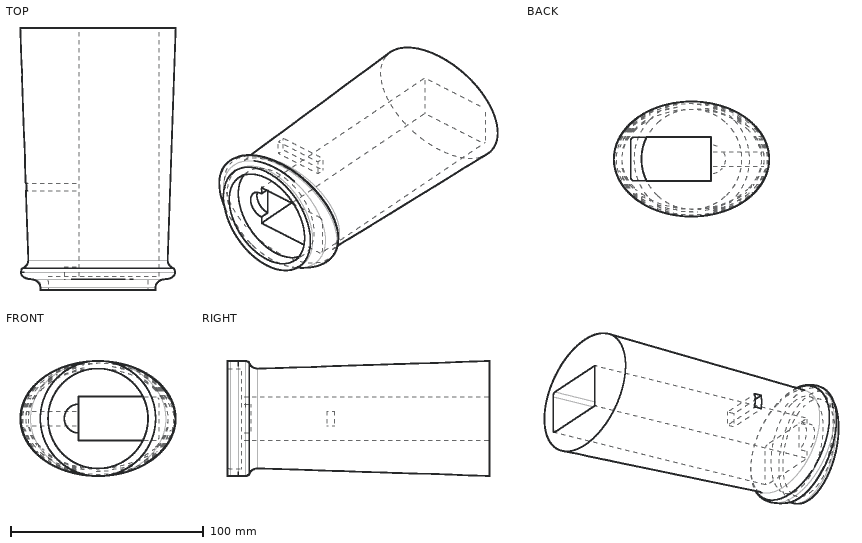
import cadquery as cq
import math

LENGTH = 136.4
END_HALF_X = 40.48
END_HALF_Z = 30.0

NECK_Y = 15.6
NECK_HALF_X = 36.3
NECK_HALF_Z = 26.0

FLARE_RADIUS = 4.5
FLARE_ANGLE = math.radians(70)
BEAD_Y = 9.2
BEAD_HALF_X = 40.1
COVE_START_Y = 5.7
COVE_START_HALF_X = 35.2
COLLAR_HALF_Z = END_HALF_Z
COVE_END_Y = 1.6
MOUTH_RADIUS = COLLAR_HALF_Z
ARC_STATIONS = 6

RECESS_RADIUS = 26.0
RECESS_DEPTH = 7.2

CAVITY_MIN_X = -10.0
CAVITY_MAX_X = 31.7
CAVITY_HEIGHT = 22.8
CAVITY_CORNER_RADIUS = 2.0

NOTCH_RADIUS = 7.5
NOTCH_DEPTH = 5.0

WINDOW_CENTER_Y = 53.7
WINDOW_LENGTH = 4.0
WINDOW_HEIGHT = 7.5


def xz_plane(y):
    """Sketch plane at the given Y, with local axes X and Z; positive extrusion goes toward -Y."""
    return cq.Workplane("XZ", origin=(0, y, 0))


def oval_loft(sections):
    """Smooth solid through oval sections given as (y, half_x, half_z)."""
    wires = [xz_plane(y).ellipse(half_x, half_z).wires().val() for y, half_x, half_z in sections]
    return cq.Workplane(cq.Solid.makeLoft(wires))


def arc_angles(sweep):
    """Evenly spaced angles from zero to the full sweep."""
    return [sweep * i / (ARC_STATIONS - 1) for i in range(ARC_STATIONS)]


def body():
    return oval_loft([
        (NECK_Y, NECK_HALF_X, NECK_HALF_Z),
        (LENGTH, END_HALF_X, END_HALF_Z),
    ])


def flare_section(angle):
    growth = FLARE_RADIUS * (1 - math.cos(angle))
    y = NECK_Y - FLARE_RADIUS * math.sin(angle)
    return y, NECK_HALF_X + growth, NECK_HALF_Z + growth


def flare():
    """Concave arc, tangent to the neck and opening toward the mouth."""
    return oval_loft([flare_section(angle) for angle in arc_angles(FLARE_ANGLE)])


def bead_top():
    """Convex quarter from the flare edge out to the widest section."""
    flare_y, flare_half_x, flare_half_z = flare_section(FLARE_ANGLE)
    sections = []
    for angle in arc_angles(math.pi / 2):
        y = BEAD_Y + (flare_y - BEAD_Y) * math.cos(angle)
        half_x = flare_half_x + (BEAD_HALF_X - flare_half_x) * math.sin(angle)
        half_z = flare_half_z + (COLLAR_HALF_Z - flare_half_z) * math.sin(angle)
        sections.append((y, half_x, half_z))
    return oval_loft(sections)


def bead_bottom():
    """Convex quarter from the widest section in to the cove; the Z width stays constant."""
    sections = []
    for angle in arc_angles(math.pi / 2):
        y = BEAD_Y - (BEAD_Y - COVE_START_Y) * math.sin(angle)
        half_x = COVE_START_HALF_X + (BEAD_HALF_X - COVE_START_HALF_X) * math.cos(angle)
        sections.append((y, half_x, COLLAR_HALF_Z))
    return oval_loft(sections)


def cove():
    """Concave quarter from the bead's underside in to the round mouth."""
    sections = []
    for angle in arc_angles(math.pi / 2):
        y = COVE_END_Y + (COVE_START_Y - COVE_END_Y) * math.cos(angle)
        half_x = MOUTH_RADIUS + (COVE_START_HALF_X - MOUTH_RADIUS) * (1 - math.sin(angle))
        sections.append((y, half_x, COLLAR_HALF_Z))
    return oval_loft(sections)


def mouth():
    return xz_plane(0).circle(MOUTH_RADIUS).extrude(-COVE_END_Y)


def recess():
    return xz_plane(0).circle(RECESS_RADIUS).extrude(-RECESS_DEPTH)


def cavity():
    width = CAVITY_MAX_X - CAVITY_MIN_X
    center_x = (CAVITY_MAX_X + CAVITY_MIN_X) / 2
    box = xz_plane(0).center(center_x, 0).rect(width, CAVITY_HEIGHT).extrude(-LENGTH)
    box = box.edges("|Y and >X").fillet(CAVITY_CORNER_RADIUS)
    return box.translate((0, RECESS_DEPTH, 0))


def notch():
    return xz_plane(RECESS_DEPTH).center(CAVITY_MIN_X, 0).circle(NOTCH_RADIUS).extrude(-NOTCH_DEPTH)


def window():
    reach = END_HALF_X + CAVITY_MIN_X
    center_x = CAVITY_MIN_X - reach / 2
    box = cq.Workplane("XY").box(reach, WINDOW_LENGTH, WINDOW_HEIGHT)
    return box.translate((center_x, WINDOW_CENTER_Y, 0))


shell = body().union(flare()).union(bead_top()).union(bead_bottom()).union(cove()).union(mouth())
result = shell.cut(recess()).cut(cavity()).cut(notch()).cut(window())